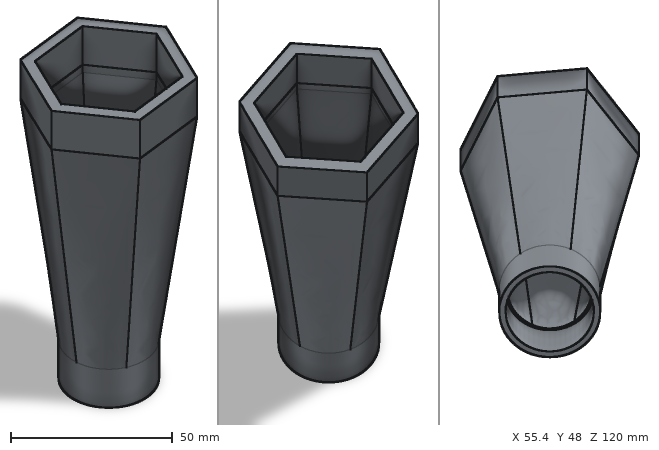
import cadquery as cq
import math

total_height = 120.0
tube_height = 15.0
collar_height = 15.0
collar_base = total_height - collar_height

hex_sides = 6
hex_outer_flats = 48.0
collar_wall = 4.0
hex_inner_flats = hex_outer_flats - 2 * collar_wall

tube_outer_diameter = 31.25
tube_wall = 2.0
tube_bore_diameter = tube_outer_diameter - 2 * tube_wall
throat_diameter = 26.0

mouth_depth = 3.0
mouth_base = collar_base - mouth_depth


def hexagon(flats, z):
    """Hexagon sketch at height z with the given width across flats."""
    corner_diameter = flats / math.cos(math.pi / hex_sides)
    return cq.Workplane("XY").workplane(offset=z).polygon(hex_sides, corner_diameter)


def hex_prism(flats, base, height):
    return hexagon(flats, base).extrude(height)


def point_on_circle(radius, turn, z):
    """Point at a position counted in hexagon corners around the axis."""
    angle = 2 * math.pi * turn / hex_sides
    return cq.Vector(radius * math.cos(angle), radius * math.sin(angle), z)


def six_arc_circle(diameter, z):
    """Circle split into one arc for each side of the hexagon it blends into."""
    radius = diameter / 2
    arcs = []
    for side in range(hex_sides):
        start = point_on_circle(radius, side, z)
        middle = point_on_circle(radius, side + 0.5, z)
        end = point_on_circle(radius, side + 1, z)
        arcs.append(cq.Edge.makeThreePointArc(start, middle, end))
    return cq.Wire.assembleEdges(arcs)


def hex_to_round(diameter, round_z, flats, hex_z):
    """Solid blending from a circle at round_z up to a hexagon at hex_z."""
    circle_wire = six_arc_circle(diameter, round_z)
    hex_wire = hexagon(flats, hex_z).wires().val()
    return cq.Workplane(cq.Solid.makeLoft([circle_wire, hex_wire], True))


def make_collar():
    """Straight hexagonal ring that sits on top of the funnel."""
    outer = hex_prism(hex_outer_flats, collar_base, collar_height)
    return outer.cut(hex_prism(hex_inner_flats, collar_base, collar_height))


def make_funnel():
    """Hollow hexagon-to-round transition with the round tube below it."""
    tube = cq.Workplane("XY").circle(tube_outer_diameter / 2).extrude(tube_height)
    transition = hex_to_round(tube_outer_diameter, tube_height, hex_outer_flats, collar_base)
    bore = cq.Workplane("XY").circle(tube_bore_diameter / 2).extrude(tube_height)
    cavity = hex_to_round(throat_diameter, tube_height, hex_inner_flats, mouth_base)
    mouth = hex_prism(hex_inner_flats, mouth_base, mouth_depth)
    return tube.union(transition).cut(bore).cut(cavity).cut(mouth)


collar = make_collar()
funnel = make_funnel()

result = cq.Compound.makeCompound([collar.solids().val(), funnel.solids().val()])